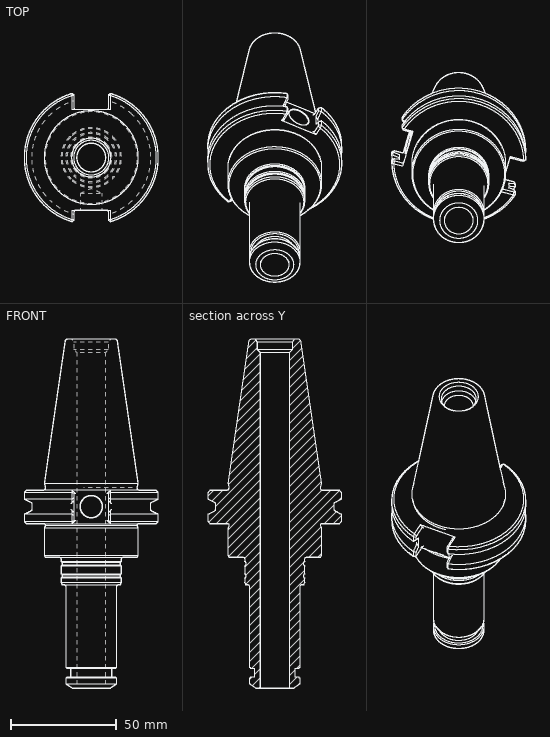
import cadquery as cq
import math

taper_length = 68.4
overall_length = 165.35
bottom_z = taper_length - overall_length

gauge_diameter = 44.45
taper_ratio = 7 / 24
taper_top_diameter = gauge_diameter - taper_length * taper_ratio
taper_tip_fillet = 1.4

neck_diameter = 43.45
neck_cone_bottom_z = -2.0
upper_neck_fillet = 1.1
lower_neck_length = 0.9
lower_neck_fillet = 0.8
lower_neck_cone_height = 1.0

flange_diameter = 63.5
flange_top_z = -3.2
flange_thickness = 15.9
flange_bottom_z = flange_top_z - flange_thickness
flange_chamfer = 1.0
groove_center_z = -11.0
groove_floor_diameter = 56.25
groove_mouth_width = 7.1
groove_floor_width = 3.5
groove_corner_fillet = 0.6

collar_bottom_z = -35.0
collar_chamfer_height = 1.0
collar_chamfer_depth = 0.5

journal_diameter = 28.5
journal_bottom_z = -48.0
journal_top_fillet = 1.0
journal_chamfer_height = 1.0
journal_chamfer_depth = 0.5
ring_groove_diameter = 27.5
ring_groove_width = 2.0
ring_groove_centers_z = (-38.0, -43.8)
ring_groove_flank_height = 0.5

shaft_diameter = 24.0
shaft_top_fillet = 1.0
shaft_bottom_z = -87.6
shaft_edge_chamfer = 0.6
head_top_chamfer = 0.6
head_top_z = -91.6
head_edge_z = -94.9
head_groove_diameter = 19.5
head_end_diameter = 18.0

bore_diameter = 13.53
counterbore_diameter = 16.5
counterbore_depth = 5.0
bore_mouth_diameter = 18.5
bore_mouth_depth = 1.6
bore_step_height = (counterbore_diameter - bore_diameter) / 2

slot_width = 16.1
slot_edge_chamfer = 1.1
slot_floor_fillet = 0.5
front_slot_floor = 25.0
back_slot_floor = 22.8
pin_hole_diameter = 10.7
pin_hole_rim_chamfer = 0.2
pin_hole_wall_depth = 8.0
pin_hole_angle = 130.0

tolerance = 0.001


def ring_groove_points(center_z):
    """Radius-height points of one trapezoidal ring groove, from top to bottom."""
    half_width = ring_groove_width / 2
    half_floor = half_width - ring_groove_flank_height
    return [
        (journal_diameter / 2, center_z + half_width),
        (ring_groove_diameter / 2, center_z + half_floor),
        (ring_groove_diameter / 2, center_z - half_floor),
        (journal_diameter / 2, center_z - half_width),
    ]


def revolved(plane, points):
    """Solid of revolution about Z of a closed radius-height outline drawn on the named plane."""
    return cq.Workplane(plane).polyline(points).close().revolve(360, (0, 0), (0, 1))


def fillet_circles(body, size, circles):
    """Round the circular edges of the body given as (radius, height) pairs."""
    edges = []
    for edge in body.edges("%CIRCLE").vals():
        center = edge.Center()
        for radius, height in circles:
            if abs(edge.radius() - radius) < tolerance and abs(center.z - height) < tolerance:
                edges.append(edge)
    return body.newObject(edges).fillet(size)


def flange_disc():
    """V-grooved flange disc with sharp groove corners."""
    rim = flange_diameter / 2
    floor = groove_floor_diameter / 2
    points = [
        (0, flange_top_z),
        (rim - flange_chamfer, flange_top_z),
        (rim, flange_top_z - flange_chamfer),
        (rim, groove_center_z + groove_mouth_width / 2),
        (floor, groove_center_z + groove_floor_width / 2),
        (floor, groove_center_z - groove_floor_width / 2),
        (rim, groove_center_z - groove_mouth_width / 2),
        (rim, flange_bottom_z + flange_chamfer),
        (rim - flange_chamfer, flange_bottom_z),
        (0, flange_bottom_z),
    ]
    return revolved("YZ", points)


def slot(floor_distance, side):
    """Drive slot cutter on the side = +1 or -1 along Y."""
    depth = flange_diameter / 2 - floor_distance
    center = (0, side * (floor_distance + depth / 2), (flange_top_z + flange_bottom_z) / 2)
    return cq.Workplane("XY").box(slot_width, depth, flange_thickness).translate(center)


def slotted_flange():
    """Flange with both drive slots: chamfered wall edges, rounded floor and groove corners."""
    body = flange_disc().cut(slot(front_slot_floor, -1)).cut(slot(back_slot_floor, 1))
    groove_floor = groove_floor_diameter / 2
    wall_edges = []
    for edge in body.edges().vals():
        box = edge.BoundingBox()
        center = edge.Center()
        on_wall = box.xlen < tolerance and abs(abs(center.x) - slot_width / 2) < tolerance
        upright = box.ylen < tolerance
        on_rim = math.hypot(center.x, center.y) > groove_floor + tolerance
        if on_wall and (on_rim or not upright):
            wall_edges.append(edge)
    body = body.newObject(wall_edges).chamfer(slot_edge_chamfer)

    floor_corners = []
    for edge in body.edges("|Z").vals():
        center = edge.Center()
        on_floor = min(abs(center.y + front_slot_floor), abs(center.y - back_slot_floor)) < tolerance
        if on_floor:
            floor_corners.append(edge)
    body = body.newObject(floor_corners).fillet(slot_floor_fillet)

    groove_floor_ends = [groove_center_z + side * groove_floor_width / 2 for side in (1, -1)]
    return fillet_circles(body, groove_corner_fillet, [(groove_floor, z) for z in groove_floor_ends])


def turned_body():
    """Taper, necks, collar, journal, shaft and head, turned about Z."""
    gauge = gauge_diameter / 2
    neck = neck_diameter / 2
    journal = journal_diameter / 2
    shaft = shaft_diameter / 2
    taper_top = taper_top_diameter / 2
    collar_top_z = flange_bottom_z - lower_neck_length
    points = [
        (0, taper_length),
        (taper_top, taper_length),
        (gauge, 0),
        (neck, neck_cone_bottom_z),
        (neck, collar_top_z),
        (gauge, collar_top_z - lower_neck_cone_height),
        (gauge, collar_bottom_z + collar_chamfer_height),
        (gauge - collar_chamfer_depth, collar_bottom_z),
        (journal, collar_bottom_z),
    ]
    for center_z in ring_groove_centers_z:
        points += ring_groove_points(center_z)
    points += [
        (journal, journal_bottom_z + journal_chamfer_height),
        (journal - journal_chamfer_depth, journal_bottom_z),
        (shaft, journal_bottom_z),
        (shaft, shaft_bottom_z + shaft_edge_chamfer),
        (shaft - shaft_edge_chamfer, shaft_bottom_z),
        (head_groove_diameter / 2, shaft_bottom_z),
        (head_groove_diameter / 2, head_top_z),
        (shaft - head_top_chamfer, head_top_z),
        (shaft, head_top_z - head_top_chamfer),
        (shaft, head_edge_z),
        (head_end_diameter / 2, bottom_z),
        (0, bottom_z),
    ]
    body = revolved("XZ", points)
    body = fillet_circles(body, taper_tip_fillet, [(taper_top, taper_length)])
    body = fillet_circles(body, journal_top_fillet, [(journal, collar_bottom_z)])
    return fillet_circles(body, shaft_top_fillet, [(shaft, journal_bottom_z)])


def bore():
    """Through bore with a counterbore and a chamfered mouth at the taper tip."""
    points = [
        (0, taper_length),
        (bore_mouth_diameter / 2, taper_length),
        (counterbore_diameter / 2, taper_length - bore_mouth_depth),
        (counterbore_diameter / 2, taper_length - counterbore_depth),
        (bore_diameter / 2, taper_length - counterbore_depth - bore_step_height),
        (bore_diameter / 2, bottom_z),
        (0, bottom_z),
    ]
    return revolved("XZ", points)


def pin_hole():
    """Blind hole with a conical bottom in the floor of the front slot."""
    rim = pin_hole_diameter / 2
    wall = rim - pin_hole_rim_chamfer
    cone_depth = wall / math.tan(math.radians(pin_hole_angle / 2))
    outline = [
        (0, 0),
        (rim, 0),
        (wall, pin_hole_rim_chamfer),
        (wall, pin_hole_wall_depth),
        (0, pin_hole_wall_depth + cone_depth),
    ]
    hole = cq.Workplane("XY").polyline(outline).close().revolve(360, (0, 0), (0, 1))
    return hole.translate((0, -front_slot_floor, groove_center_z))


body = turned_body().union(slotted_flange())
body = fillet_circles(body, upper_neck_fillet, [(neck_diameter / 2, flange_top_z)])
body = fillet_circles(body, lower_neck_fillet, [(neck_diameter / 2, flange_bottom_z)])
result = body.cut(bore()).cut(pin_hole())